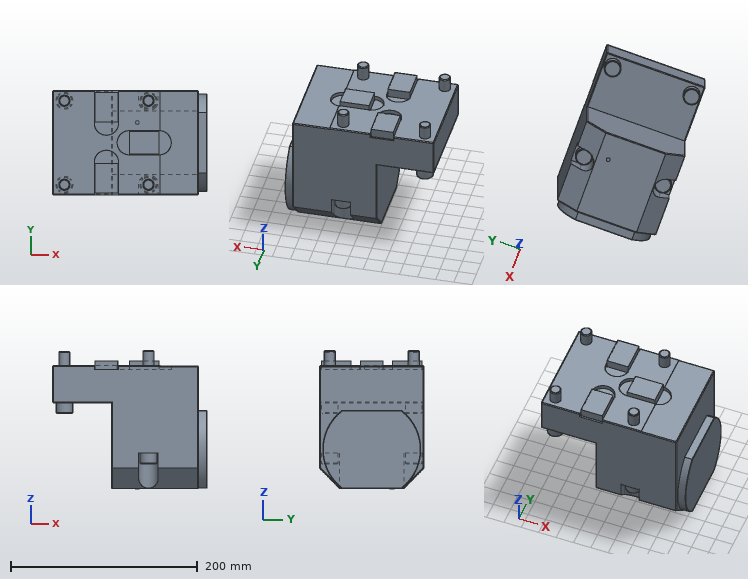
import cadquery as cq


width = 112.0
length = 156.0
height = 132.0
flange_thickness = 40.0
flange_reach = 63.0
bottom_bevel = 22.0
edge_chamfer = 1.0
mounting_face_length = 115.0
top_relief = 0.5

screw_pitch = 90.0
screw_inset = 12.5
inner_screw_x = screw_inset + screw_pitch
shank_diameter = 12.0
head_diameter = 18.0
head_height = 12.0
screw_end_chamfer = 1.0
outer_screw_top = 15.0
outer_head_bottom = -51.5
inner_screw_top = 16.0
inner_head_bottom = -105.5
pocket_diameter = 21.0
pocket_top = inner_head_bottom + head_height

slot_width = 26.0
slot_depth = 4.5
key_length = 32.0
key_width = 24.5
key_top = 5.0
side_slot_x = 57.5
side_slot_inner_y = 8.0
side_key_center_y = 38.0
center_slot_x = 98.0
center_slot_length = 58.0

disc_diameter = 105.0
disc_thickness = 9.0
disc_flat_height = 83.0
disc_center_z = -90.0
disc_chamfer = 0.5

plug_diameter = 4.0
plug_height = 0.29
plug_x = 90.6
plug_y = 21.7

tolerance = 1e-6


def cylinder(x, y, bottom, top, diameter):
    return (
        cq.Workplane("XY", origin=(x, y, bottom))
        .circle(diameter / 2)
        .extrude(top - bottom)
    )


def same(a, b):
    return abs(a - b) < tolerance


def is_chamfered(edge):
    """Leave sharp the long edges of the relief step, the flange corner and the bevels."""
    middle = edge.Center()
    is_step = same(middle.x, mounting_face_length) and same(middle.y, 0)
    is_flange_corner = same(middle.x, flange_reach) and same(middle.z, -flange_thickness)
    is_bevel = same(middle.x, (flange_reach + length) / 2)
    return not (is_step or is_flange_corner or is_bevel)


def make_housing():
    side_outline = (
        cq.Workplane("XZ")
        .moveTo(0, 0)
        .lineTo(mounting_face_length, 0)
        .lineTo(mounting_face_length, -top_relief)
        .lineTo(length, -top_relief)
        .lineTo(length, -height)
        .lineTo(flange_reach, -height)
        .lineTo(flange_reach, -flange_thickness)
        .lineTo(0, -flange_thickness)
        .close()
        .extrude(width / 2, both=True)
    )
    half = width / 2
    end_outline = (
        cq.Workplane("YZ")
        .moveTo(-half, 0)
        .lineTo(half, 0)
        .lineTo(half, -height + bottom_bevel)
        .lineTo(half - bottom_bevel, -height)
        .lineTo(-half + bottom_bevel, -height)
        .lineTo(-half, -height + bottom_bevel)
        .close()
        .extrude(length)
    )
    housing = side_outline.intersect(end_outline)
    return housing.edges().filter(is_chamfered).chamfer(edge_chamfer)


def make_side_slot(side):
    radius = slot_width / 2
    arc_center_y = side_slot_inner_y + radius
    straight_length = width / 2 - arc_center_y
    straight = cq.Workplane("XY").box(
        slot_width, straight_length, slot_depth, centered=(True, True, False)
    )
    straight = straight.translate(
        (side_slot_x, side * (arc_center_y + straight_length / 2), -slot_depth)
    )
    rounded_end = cylinder(side_slot_x, side * arc_center_y, -slot_depth, 0, slot_width)
    return straight.union(rounded_end)


def make_center_slot():
    return (
        cq.Workplane("XY", origin=(center_slot_x, 0, -slot_depth))
        .slot2D(center_slot_length, slot_width)
        .extrude(slot_depth)
    )


def make_key(x, y, size_x, size_y):
    key = cq.Workplane("XY").box(
        size_x, size_y, key_top + slot_depth, centered=(True, True, False)
    )
    return key.translate((x, y, -slot_depth))


def make_screw_pocket(side):
    """Round pocket for the inner screw head, open to the side and the bevel."""
    y = side * screw_pitch / 2
    depth = height + pocket_top
    bore = cylinder(inner_screw_x, y, -height, pocket_top, pocket_diameter)
    opening = cq.Workplane("XY").box(
        pocket_diameter, pocket_diameter, depth, centered=(True, True, False)
    )
    opening = opening.translate((inner_screw_x, y + side * pocket_diameter / 2, -height))
    return bore.union(opening)


def make_screw(x, y, head_bottom, top):
    shank = cylinder(x, y, head_bottom, top, shank_diameter)
    shank = shank.faces(">Z").chamfer(screw_end_chamfer)
    head = cylinder(x, y, head_bottom, head_bottom + head_height, head_diameter)
    head = head.faces("<Z").chamfer(screw_end_chamfer)
    return shank.union(head)


def make_end_disc():
    disc = (
        cq.Workplane("YZ", origin=(length, 0, disc_center_z))
        .circle(disc_diameter / 2)
        .extrude(disc_thickness)
    )
    flats = cq.Workplane("XY").box(
        disc_thickness, disc_diameter, disc_flat_height, centered=(False, True, True)
    )
    disc = disc.intersect(flats.translate((length, 0, disc_center_z)))
    return disc.faces(">X").chamfer(disc_chamfer)


result = make_housing().cut(make_center_slot())
for side in (-1, 1):
    result = result.cut(make_side_slot(side)).cut(make_screw_pocket(side))

result = result.union(make_key(center_slot_x, 0, key_length, key_width))
for side in (-1, 1):
    screw_y = side * screw_pitch / 2
    result = result.union(make_key(side_slot_x, side * side_key_center_y, key_width, key_length))
    result = result.union(make_screw(screw_inset, screw_y, outer_head_bottom, outer_screw_top))
    result = result.union(make_screw(inner_screw_x, screw_y, inner_head_bottom, inner_screw_top))

plug = cylinder(plug_x, plug_y, -height - plug_height, -height, plug_diameter)
result = result.union(make_end_disc()).union(plug)